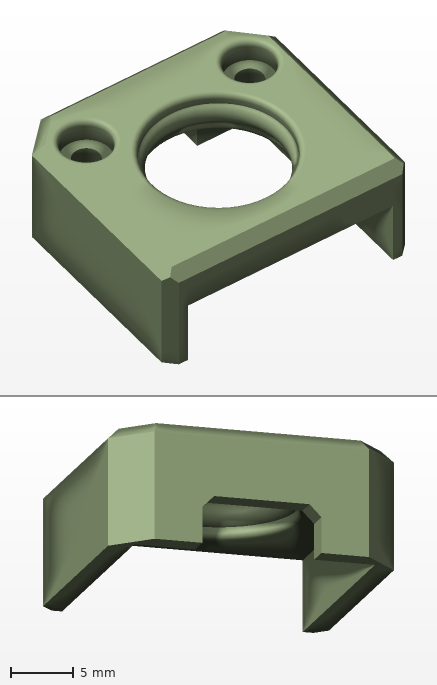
import cadquery as cq
import math

length = 22.0
width = 24.0
height = 10.0
rim_chamfer = 1.0
front_corner_chamfer = 3.0
back_corner_chamfer = 1.0

front_wall = 2.0
plate_thickness = 4.0
plate_bottom = height - plate_thickness
cavity_width = 20.2

notch_width = 10.0
notch_height = 4.0
notch_chamfer = 1.0

edge_round = 0.5
edge_round_inset = edge_round * (1 - math.sqrt(0.5))
opening_x = 12.0
opening_radius = 13.0 / 2
bead_top_depth = 1.0
bead_height = 2.0
bead_projection = 0.58

screw_x = 5.0
screw_y = 8.05
screw_diameter = 2.5
counterbore_diameter = 4.5
counterbore_depth = 2.0


def make_block():
    """Plain block with its -X face at x = 0, its base at z = 0 and centred on Y."""
    return cq.Workplane("XY").box(length, width, height, centered=(False, True, False))


def make_body():
    """Block with a bevelled top rim and four bevelled vertical corners."""
    body = make_block().edges("|Z and <X").chamfer(front_corner_chamfer)
    body = body.faces(">Z").edges().chamfer(rim_chamfer)
    back_trim = make_block().edges("|Z and >X").chamfer(back_corner_chamfer)
    return body.intersect(back_trim)


def make_cavity():
    """Space enclosed by the -X wall, the two side walls and the top plate."""
    cavity_length = length - front_wall
    cavity = cq.Workplane("XY").box(
        cavity_length, cavity_width, plate_bottom, centered=(False, True, False)
    )
    return cavity.translate((front_wall, 0, 0))


def make_notch():
    """Passage through the -X wall with bevelled upper corners."""
    return (
        cq.Workplane("XY")
        .box(front_wall, notch_width, notch_height, centered=(False, True, False))
        .edges("|X and >Z")
        .chamfer(notch_chamfer)
    )


def start_bore_profile(radius):
    """Half profile (radius, z) from the axis at the top to the foot of the rounded mouth."""
    return (
        cq.Workplane("XZ")
        .moveTo(0, height)
        .lineTo(radius + edge_round, height)
        .threePointArc((radius + edge_round_inset, height - edge_round_inset), (radius, height - edge_round))
    )


def make_opening():
    """Large opening, rounded at both mouths, whose wall carries a rounded inward bead."""
    bead_top = height - bead_top_depth
    bead_bottom = bead_top - bead_height
    bead_middle = (opening_radius - bead_projection, (bead_top + bead_bottom) / 2)
    profile = (
        start_bore_profile(opening_radius)
        .lineTo(opening_radius, bead_top)
        .threePointArc(bead_middle, (opening_radius, bead_bottom))
        .lineTo(opening_radius, plate_bottom + edge_round)
        .threePointArc(
            (opening_radius + edge_round_inset, plate_bottom + edge_round_inset),
            (opening_radius + edge_round, plate_bottom),
        )
        .lineTo(0, plate_bottom)
        .close()
    )
    return profile.revolve(360, (0, 0, 0), (0, 1, 0)).translate((opening_x, 0, 0))


def make_screw_hole(y):
    """Through hole with a counterbore whose mouth is rounded."""
    counterbore_floor = height - counterbore_depth
    profile = (
        start_bore_profile(counterbore_diameter / 2)
        .lineTo(counterbore_diameter / 2, counterbore_floor)
        .lineTo(screw_diameter / 2, counterbore_floor)
        .lineTo(screw_diameter / 2, 0)
        .lineTo(0, 0)
        .close()
    )
    return profile.revolve(360, (0, 0, 0), (0, 1, 0)).translate((screw_x, y, 0))


part = make_body().cut(make_cavity()).cut(make_notch()).cut(make_opening())
for side in (-1, 1):
    part = part.cut(make_screw_hole(side * screw_y))

result = part